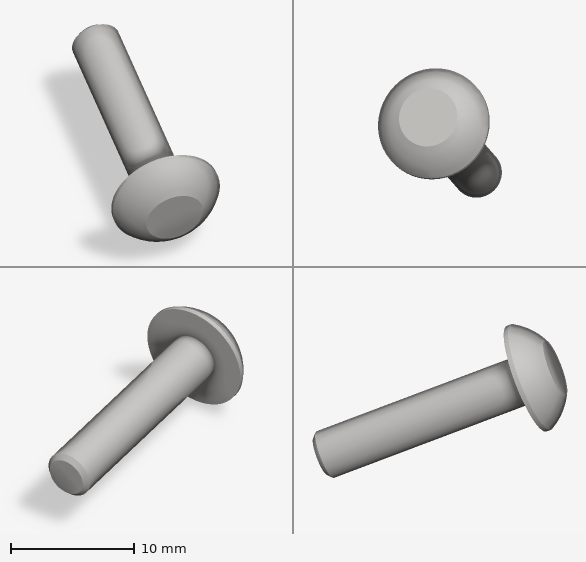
import cadquery as cq
import math

total_length = 20.82
shank_diameter = 4.04
tip_chamfer = 0.4
head_diameter = 9.16
head_height = 2.55
rim_thickness = 0.4
crown_flat_diameter = 4.83
crown_bulge = 0.23

shank_radius = shank_diameter / 2
head_radius = head_diameter / 2
crown_flat_radius = crown_flat_diameter / 2
shank_length = total_length - head_height


def make_shank():
    shank = cq.Workplane("YZ").circle(shank_radius).extrude(shank_length)
    return shank.faces("<X").chamfer(tip_chamfer)


def make_head():
    """Revolve a flat rim topped by a domed crown about the X axis."""
    rim_end = shank_length + rim_thickness
    crown_run = total_length - rim_end
    crown_drop = head_radius - crown_flat_radius
    chord = math.hypot(crown_run, crown_drop)
    arc_middle = (
        rim_end + crown_run / 2 + crown_bulge * crown_drop / chord,
        crown_flat_radius + crown_drop / 2 + crown_bulge * crown_run / chord,
    )
    return (
        cq.Workplane("XY")
        .moveTo(shank_length, 0)
        .lineTo(shank_length, head_radius)
        .lineTo(rim_end, head_radius)
        .threePointArc(arc_middle, (total_length, crown_flat_radius))
        .lineTo(total_length, 0)
        .close()
        .revolve(360, (0, 0, 0), (1, 0, 0))
    )


result = make_shank().union(make_head())